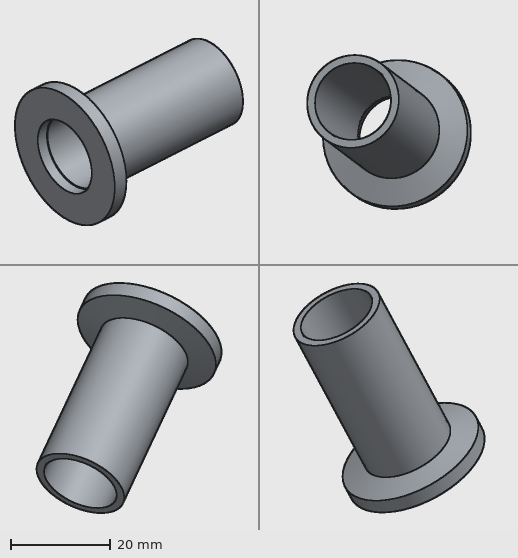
import cadquery as cq
import math

total_length = 40.0
flange_diameter = 30.0
rim_thickness = 3.2
flange_taper_angle = 15.0
tube_diameter = 19.05
bore_diameter = 15.75
counterbore_diameter = 16.2
counterbore_depth = 2.5

flange_radius = flange_diameter / 2
tube_radius = tube_diameter / 2
bore_radius = bore_diameter / 2
counterbore_radius = counterbore_diameter / 2
taper_length = (flange_radius - tube_radius) * math.tan(math.radians(flange_taper_angle))

half_section = (
    cq.Workplane("XY")
    .moveTo(counterbore_radius, 0)
    .lineTo(flange_radius, 0)
    .lineTo(flange_radius, rim_thickness)
    .lineTo(tube_radius, rim_thickness + taper_length)
    .lineTo(tube_radius, total_length)
    .lineTo(bore_radius, total_length)
    .lineTo(bore_radius, counterbore_depth)
    .lineTo(counterbore_radius, counterbore_depth)
    .close()
)

result = half_section.revolve(360, (0, 0, 0), (0, 1, 0))